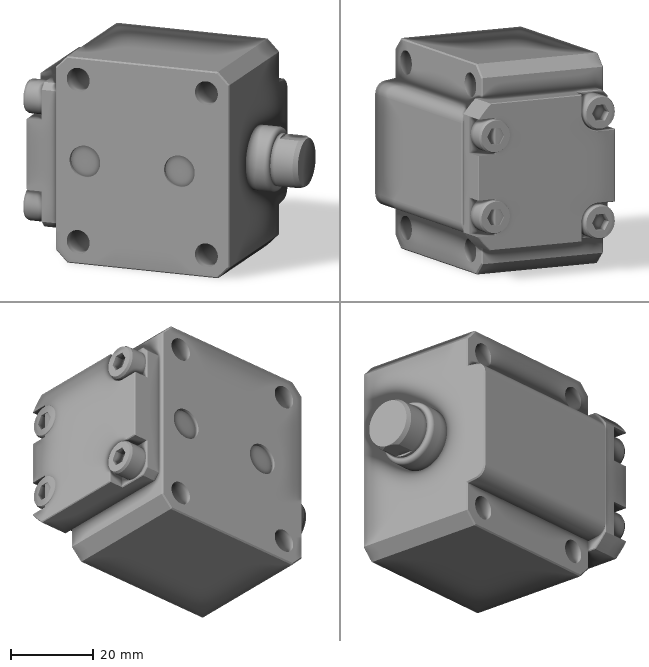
import cadquery as cq
import math

BLOCK_X = 45.35
BLOCK_Y = 33.45
BLOCK_Z = 52.0
BLOCK_CORNER = 3.0
BLOCK_EDGE = 0.35

OVERALL_Y = 39.0
PAD_HALF_Z = 15.7
PAD_LEAN_DEG = 7.5
PAD_ROUND = 3.0

MOUNT_DIAMETER = 6.0
MOUNT_PITCH_X = 33.45
MOUNT_PITCH_Z = 40.85
RECESS_DIAMETER = 8.0
RECESS_DEPTH = 1.0
RECESS_X = (-15.0, 9.7)

PLATE_THICKNESS = 8.0
PLATE_FRONT_Y = 1.1
PLATE_REAR_Y = 38.65
PLATE_Z = 36.4
PLATE_CORNER_RADIUS = 24.45
PLATE_EDGE = 0.2

HEAD_DIAMETER = 8.5
HEAD_HEIGHT = 5.0
HEAD_EDGE_RADIAL = 0.35
HEAD_EDGE_AXIAL = 0.7
SOCKET_FLATS = 4.0
SOCKET_DEPTH = 2.5
POCKET_RADIUS = 4.5
FRONT_SCREW_Y = 5.65
FRONT_SCREW_Z = 13.5
FRONT_SCREW_RISE = 1.1
REAR_SCREW_Y = 34.0
REAR_SCREW_Z = 10.0
REAR_SCREW_RISE = 0.2

CONNECTOR_Y = 19.0
COLLAR_DIAMETER = 16.0
COLLAR_LENGTH = 5.8
COLLAR_ROUND = 1.0
SPIGOT_DIAMETER = 13.0
SPIGOT_EDGE_AXIAL = 1.15
SPIGOT_EDGE_RADIAL = 0.55
FLAT_DISTANCE = 11.95
FLAT_START = 6.7
CONNECTOR_LENGTH = 12.8

BLOCK_LEFT = -BLOCK_X / 2
BLOCK_RIGHT = BLOCK_X / 2
PLATE_FACE = BLOCK_LEFT - PLATE_THICKNESS


def box_between(low, high):
    """Axis-aligned box from its lowest corner to its highest corner."""
    size = [b - a for a, b in zip(low, high)]
    return cq.Workplane("XY").box(*size, centered=False).translate(low)


def make_pad():
    """Rear pad: a Y-Z profile run along X, with its ends chamfered."""
    lean = math.radians(PAD_LEAN_DEG)
    base_y = BLOCK_Y - 2 * BLOCK_EDGE
    base_z = PAD_HALF_Z + (BLOCK_Y - base_y) * math.tan(lean)
    arc_y = OVERALL_Y - PAD_ROUND
    side_y = arc_y + PAD_ROUND * math.sin(lean)
    arc_z = PAD_HALF_Z - (side_y - BLOCK_Y) * math.tan(lean) - PAD_ROUND * math.cos(lean)
    side_z = arc_z + PAD_ROUND * math.cos(lean)
    middle = (lean + math.pi / 2) / 2
    middle_y = arc_y + PAD_ROUND * math.sin(middle)
    middle_z = arc_z + PAD_ROUND * math.cos(middle)
    return (
        cq.Workplane("YZ", origin=(BLOCK_LEFT, 0, 0))
        .moveTo(base_y, -base_z)
        .lineTo(side_y, -side_z)
        .threePointArc((middle_y, -middle_z), (OVERALL_Y, -arc_z))
        .lineTo(OVERALL_Y, arc_z)
        .threePointArc((middle_y, middle_z), (side_y, side_z))
        .lineTo(base_y, base_z)
        .close()
        .extrude(BLOCK_X)
        .faces("<X or >X")
        .edges("not <Y")
        .chamfer(BLOCK_EDGE)
    )


def make_housing():
    block = (
        cq.Workplane("XY")
        .box(BLOCK_X, BLOCK_Y, BLOCK_Z)
        .translate((0, BLOCK_Y / 2, 0))
        .edges("|Y")
        .chamfer(BLOCK_CORNER)
        .faces("<Y or >Y")
        .chamfer(BLOCK_EDGE)
    )
    mounts = (
        cq.Workplane("XZ")
        .rect(MOUNT_PITCH_X, MOUNT_PITCH_Z, forConstruction=True)
        .vertices()
        .circle(MOUNT_DIAMETER / 2)
        .extrude(-BLOCK_Y)
    )
    recesses = (
        cq.Workplane("XZ")
        .pushPoints([(x, 0) for x in RECESS_X])
        .circle(RECESS_DIAMETER / 2)
        .extrude(-RECESS_DEPTH)
    )
    return block.union(make_pad()).cut(mounts).cut(recesses)


def front_pocket(side, depth):
    """Corner pocket, open to the front and to one Z side, rounded about the screw."""
    screw_z = FRONT_SCREW_Z
    pocket = (
        cq.Workplane("YZ", origin=(PLATE_FACE, 0, 0))
        .moveTo(0, screw_z - POCKET_RADIUS)
        .lineTo(FRONT_SCREW_Y, screw_z - POCKET_RADIUS)
        .radiusArc((FRONT_SCREW_Y + POCKET_RADIUS, screw_z), -POCKET_RADIUS)
        .lineTo(FRONT_SCREW_Y + POCKET_RADIUS, PLATE_Z)
        .lineTo(0, PLATE_Z)
        .close()
        .extrude(depth)
    )
    return pocket if side > 0 else pocket.mirror("XY")


def rear_pocket(side):
    """Square notch from the screw axis out through the rear edge."""
    floor_x = PLATE_FACE - REAR_SCREW_RISE + HEAD_HEIGHT
    screw_z = side * REAR_SCREW_Z
    return box_between(
        (PLATE_FACE, REAR_SCREW_Y, screw_z - POCKET_RADIUS),
        (floor_x, OVERALL_Y, screw_z + POCKET_RADIUS),
    )


def plate_layer(thickness):
    """Rectangle with its corners turned about the connector axis, grown from the block."""
    rectangle = box_between(
        (BLOCK_LEFT - thickness, PLATE_FRONT_Y, -PLATE_Z / 2),
        (BLOCK_LEFT, PLATE_REAR_Y, PLATE_Z / 2),
    )
    disc = (
        cq.Workplane("YZ", origin=(BLOCK_LEFT, CONNECTOR_Y, 0))
        .circle(PLATE_CORNER_RADIUS)
        .extrude(-thickness)
    )
    return rectangle.intersect(disc)


def make_plate():
    """Bevelled base layer up to the front pocket floors, and the bevelled full plate on it."""
    pocket_depth = HEAD_HEIGHT - FRONT_SCREW_RISE
    base = plate_layer(PLATE_THICKNESS - pocket_depth).faces("<X or >X").chamfer(PLATE_EDGE)
    upper = plate_layer(PLATE_THICKNESS)
    for side in (-1, 1):
        upper = upper.cut(front_pocket(side, PLATE_THICKNESS))
    upper = upper.faces("<X or >X").chamfer(PLATE_EDGE)
    plate = base.union(upper)
    for side in (-1, 1):
        plate = plate.cut(rear_pocket(side))
    return plate


def make_screw_head(y, z, rise):
    """Cylindrical head with a bevelled rim and a hexagon socket, facing -X."""
    radius = HEAD_DIAMETER / 2
    profile = [
        (0, 0),
        (radius - HEAD_EDGE_RADIAL, 0),
        (radius, HEAD_EDGE_AXIAL),
        (radius, HEAD_HEIGHT),
        (0, HEAD_HEIGHT),
    ]
    head = cq.Workplane("XZ").polyline(profile).close().revolve(360, (0, 0), (0, 1))
    socket = (
        cq.Workplane("XY")
        .polygon(6, SOCKET_FLATS / math.cos(math.pi / 6))
        .extrude(SOCKET_DEPTH)
    )
    turned = head.cut(socket).rotate((0, 0, 0), (0, 0, 1), 90).rotate((0, 0, 0), (0, 1, 0), 90)
    return turned.translate((PLATE_FACE - rise, y, z))


def make_connector():
    """Stepped round connector with two flats on its spigot."""
    spigot = SPIGOT_DIAMETER / 2
    profile = [
        (COLLAR_LENGTH, 0),
        (COLLAR_LENGTH, spigot),
        (CONNECTOR_LENGTH - SPIGOT_EDGE_AXIAL, spigot),
        (CONNECTOR_LENGTH, spigot - SPIGOT_EDGE_RADIAL),
        (CONNECTOR_LENGTH, 0),
    ]
    connector = (
        cq.Workplane("YZ")
        .circle(COLLAR_DIAMETER / 2)
        .extrude(COLLAR_LENGTH)
        .faces(">X")
        .edges()
        .fillet(COLLAR_ROUND)
        .union(cq.Workplane("XY").polyline(profile).close().revolve(360, (0, 0), (1, 0)))
    )
    for side in (-1, 1):
        flat = box_between(
            (FLAT_START, -spigot, FLAT_DISTANCE / 2),
            (CONNECTOR_LENGTH, spigot, spigot),
        )
        connector = connector.cut(flat if side > 0 else flat.mirror("XY"))
    return connector.translate((BLOCK_RIGHT, CONNECTOR_Y, 0))


housing = make_housing()
plate = make_plate()
connector = make_connector()
screw_heads = []
for side in (-1, 1):
    screw_heads.append(make_screw_head(FRONT_SCREW_Y, side * FRONT_SCREW_Z, FRONT_SCREW_RISE))
    rear_head = make_screw_head(REAR_SCREW_Y, side * REAR_SCREW_Z, REAR_SCREW_RISE)
    screw_heads.append(rear_head.cut(plate))

result = cq.Compound.makeCompound(
    [housing.val(), plate.val(), connector.val(), *[head.val() for head in screw_heads]]
)